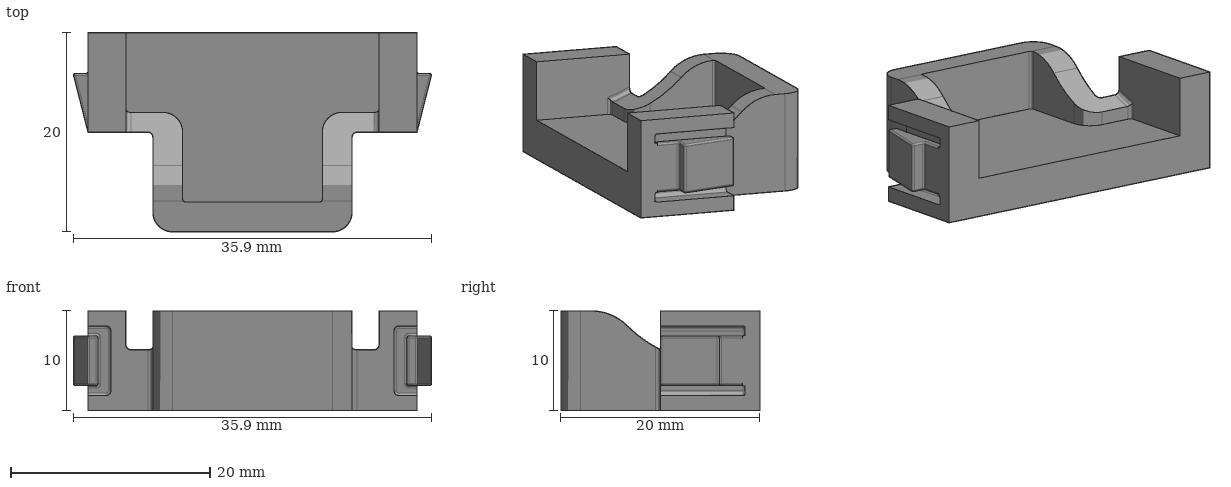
import cadquery as cq
import math

height = 10.0
bar_width = 33.0
bar_depth = 10.0
nose_width = 20.0
nose_length = 10.0
nose_corner_radius = 2.0
neck_radius = 0.5

floor_height = 4.0
cheek_thickness = 3.8
nose_wall = 3.0
ledge_depth = 2.0
ledge_corner_radius = 2.0
cheek_corner_radius = 0.4
nose_pocket_radius = 0.3

crest_radius = 5.0
crest_run = 3.55
rim_extra = 0.1
valley_radius = 12.5
sweep_side_radius = 0.5

recess_height = 7.0
recess_depth = 2.3
recess_length = 8.5
recess_floor_radius = 0.5
recess_end_radius = 0.25

latch_height = 5.0
latch_thickness = 1.0
latch_edge_radius = 0.2
barb_root_radius = 0.2
tongue_root_radius = 0.25
stub_margin = 0.05
barb_length = 5.9
barb_rise = 1.5

latch_inner_x = bar_width / 2 - latch_thickness
pocket_half_width = bar_width / 2 - cheek_thickness
nose_pocket_half_width = nose_width / 2 - nose_wall
nose_pocket_front = -nose_length + nose_wall
mid_height = height / 2

tolerance = 0.02


def centered_block(width, y_min, y_max, z_min, z_max):
    """Block centred on x = 0 with the given y and z limits."""
    block = cq.Workplane("XY").box(width, y_max - y_min, z_max - z_min, centered=(True, False, False))
    return block.translate((0, y_min, z_min))


def vertical_edges_at(half_width, y):
    """Selector for the two vertical edges at x = +/- half_width and the given y."""
    left, right = (
        cq.selectors.BoxSelector(
            (x - tolerance, y - tolerance, 0),
            (x + tolerance, y + tolerance, height),
        )
        for x in (-half_width, half_width)
    )
    return left + right


def make_body():
    """T-shaped block with rounded nose corners and necks."""
    bar = centered_block(bar_width, 0, bar_depth, 0, height)
    nose = centered_block(nose_width, -nose_length, bar_depth, 0, height)
    body = bar.union(nose)
    body = body.edges(vertical_edges_at(nose_width / 2, -nose_length)).fillet(nose_corner_radius)
    return body.edges(vertical_edges_at(nose_width / 2, 0)).fillet(neck_radius)


def make_pocket():
    """T-shaped cavity above the floor, with rounded vertical corners."""
    rear = centered_block(2 * pocket_half_width, ledge_depth, bar_depth, floor_height, height)
    front = centered_block(2 * nose_pocket_half_width, nose_pocket_front, bar_depth, floor_height, height)
    pocket = rear.union(front)
    corners = [
        (nose_pocket_half_width, ledge_depth, ledge_corner_radius),
        (pocket_half_width, ledge_depth, cheek_corner_radius),
        (nose_pocket_half_width, nose_pocket_front, nose_pocket_radius),
    ]
    for half_width, y, radius in corners:
        pocket = pocket.edges(vertical_edges_at(half_width, y)).fillet(radius)
    return pocket


def make_sweep():
    """Cutter that lowers the wall tops along two tangent arcs between the cheeks."""
    rim_y = nose_pocket_front + rim_extra
    turn = math.asin(crest_run / crest_radius)
    crest_center_z = height - crest_radius
    join = (rim_y + crest_run, crest_center_z + crest_radius * math.cos(turn))
    crest_mid = (
        rim_y + crest_radius * math.sin(turn / 2),
        crest_center_z + crest_radius * math.cos(turn / 2),
    )
    valley_center_y = join[0] + valley_radius * math.sin(turn)
    valley_center_z = join[1] + valley_radius * math.cos(turn)

    def valley_point(y):
        return y, valley_center_z - math.sqrt(valley_radius**2 - (y - valley_center_y) ** 2)

    end_y = ledge_depth + cheek_corner_radius
    cutter = (
        cq.Workplane("YZ")
        .moveTo(rim_y, height)
        .threePointArc(crest_mid, join)
        .threePointArc(valley_point((join[0] + end_y) / 2), valley_point(end_y))
        .lineTo(end_y, height)
        .close()
        .extrude(pocket_half_width, both=True)
    )
    valley_sides = cutter.edges("<X or >X").edges(
        cq.selectors.BoxSelector((-bar_width, join[0], 0), (bar_width, end_y - tolerance, join[1])))
    return valley_sides.fillet(sweep_side_radius)


def make_recess():
    """Latch clearance in the +X cheek, open to the outside and the front."""
    recess = cq.Workplane("XY").box(
        recess_depth, recess_length, recess_height, centered=(False, False, True))
    recess = recess.translate((bar_width / 2 - recess_depth, 0, mid_height))
    recess = recess.edges("<X and |Y").fillet(recess_floor_radius)
    return recess.faces(">Y").edges("not >X").fillet(recess_end_radius)


def make_latch():
    """Tongue and barb on the +X cheek, reaching back to the end wall of the recess."""
    outline = [
        (latch_inner_x, 0),
        (bar_width / 2, 0),
        (bar_width / 2 + barb_rise, barb_length),
        (bar_width / 2, barb_length),
        (bar_width / 2, recess_length),
        (latch_inner_x, recess_length),
    ]
    latch = cq.Workplane("XY").polyline(outline).close().extrude(latch_height)
    latch = latch.translate((0, 0, mid_height - latch_height / 2))
    barb_root = cq.selectors.NearestToPointSelector((bar_width / 2, barb_length, mid_height))
    hidden_edges = latch.edges(">Y").vals() + latch.edges(barb_root).vals()
    exposed_edges = [
        edge for edge in latch.edges().vals() if not any(edge.isSame(hidden) for hidden in hidden_edges)
    ]
    latch = latch.newObject(exposed_edges).fillet(latch_edge_radius)
    return latch.edges(barb_root).fillet(barb_root_radius)


def make_tongue_root():
    """Flared collar that blends the +X tongue into the end wall of the recess."""
    outer_x = bar_width / 2
    stub_length = tongue_root_radius + stub_margin
    plate_depth = bar_depth - recess_length
    stub = cq.Workplane("XY").box(
        latch_thickness, stub_length, latch_height, centered=(False, False, True))
    stub = stub.translate((latch_inner_x, recess_length - stub_length, mid_height))
    stub = stub.edges("<X and |Y").fillet(latch_edge_radius)
    plate = cq.Workplane("XY").box(
        recess_depth, plate_depth, recess_height, centered=(False, False, True))
    plate = plate.translate((outer_x - recess_depth, recess_length, mid_height))
    junction = cq.selectors.BoxSelector(
        (latch_inner_x - tolerance, recess_length - tolerance, mid_height - latch_height / 2 - tolerance),
        (outer_x - tolerance, recess_length + tolerance, mid_height + latch_height / 2 + tolerance),
    )
    return plate.union(stub).edges(junction).fillet(tongue_root_radius)


def add_latches(body):
    """Cut the recess and add the latch on both cheeks."""
    recess = make_recess()
    latch = make_latch().union(make_tongue_root())
    body = body.cut(recess).cut(recess.mirror("YZ"))
    return body.union(latch).union(latch.mirror("YZ"))


result = add_latches(make_body().cut(make_pocket()).cut(make_sweep()))